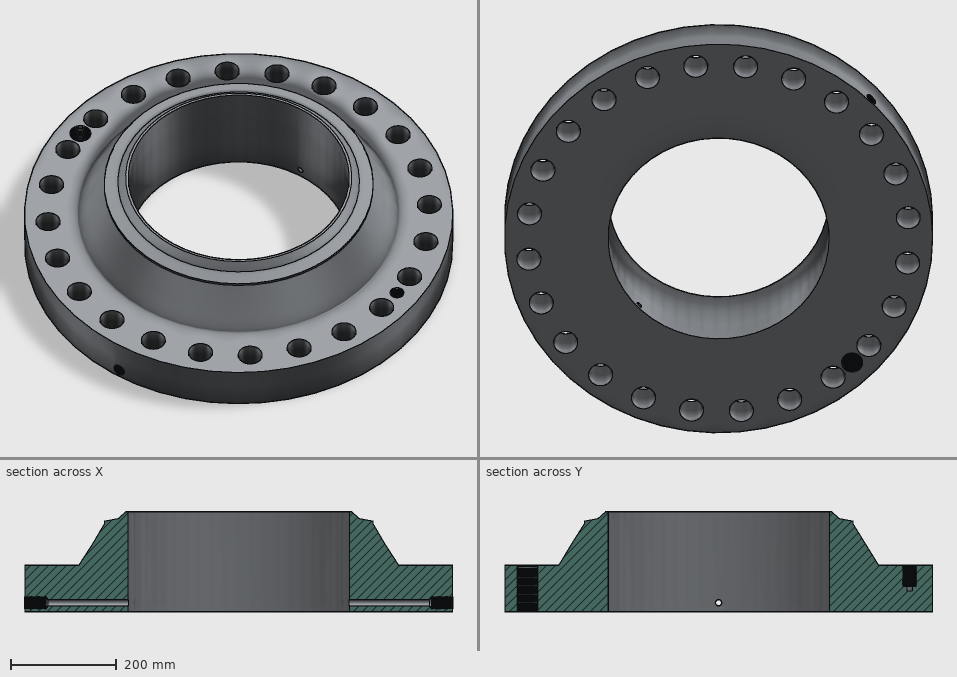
import cadquery as cq
import math

flange_radius = 406.0
flange_height = 89.0
bore_radius = 210.0

hub_base_radius = 304.0
hub_top_radius = 255.0
hub_cone_top = 167.5
hub_shoulder_height = 172.0
hub_base_fillet = 3.0
bevel_base_radius = 229.0
bevel_base_height = 177.0
bevel_top_radius = 214.5
total_height = 190.0

bolt_count = 24
bolt_circle_radius = 362.5
bolt_hole_diameter = 45.5
bolt_pitch_angle = 360 / bolt_count

jack_thread_diameter = 40.0
jack_tap_diameter = 36.0
jack_turns = 22

lift_thread_diameter = 26.0
lift_tap_diameter = 21.0
lift_depth = 41.0
lift_turns = 14
pilot_diameter = 10.0
pilot_depth = 8.0

port_height = 17.0
port_bore_diameter = 11.0
port_thread_diameter = 23.0
port_tap_diameter = 18.0
port_thread_depth = 41.0
port_turns = 20
drill_point_angle = 118


def revolve_about_z(profile):
    return profile.close().revolve(360, (0, 0), (0, 1))


def make_body():
    """Revolve the flange, the filleted hub and the weld bevel around the bore."""
    cone_angle = math.atan2(hub_cone_top - flange_height, hub_base_radius - hub_top_radius)
    fillet_reach = hub_base_fillet * math.tan(cone_angle / 2)
    fillet_end = (
        hub_base_radius - fillet_reach * math.cos(cone_angle),
        flange_height + fillet_reach * math.sin(cone_angle),
    )
    return revolve_about_z(
        cq.Workplane("XZ")
        .moveTo(bore_radius, 0)
        .lineTo(flange_radius, 0)
        .lineTo(flange_radius, flange_height)
        .lineTo(hub_base_radius + fillet_reach, flange_height)
        .tangentArcPoint(fillet_end, relative=False)
        .lineTo(hub_top_radius, hub_cone_top)
        .lineTo(hub_top_radius, hub_shoulder_height)
        .lineTo(bevel_base_radius, bevel_base_height)
        .lineTo(bevel_top_radius, total_height)
        .lineTo(bore_radius, total_height)
    )


def make_bolt_holes():
    return (
        cq.Workplane("XY")
        .polarArray(bolt_circle_radius, bolt_pitch_angle / 2, 360, bolt_count)
        .circle(bolt_hole_diameter / 2)
        .extrude(flange_height)
    )


def make_tapped_hole(thread_diameter, tap_diameter, depth, turns):
    """Tapped hole running down from Z = 0, its thread simplified to a stack of V rings."""
    thread_radius = thread_diameter / 2
    tap_radius = tap_diameter / 2
    pitch = depth / turns
    profile = cq.Workplane("XZ").lineTo(thread_radius, 0)
    for turn in range(turns):
        profile = profile.lineTo(tap_radius, -(turn + 0.5) * pitch)
        profile = profile.lineTo(thread_radius, -(turn + 1) * pitch)
    return revolve_about_z(profile.lineTo(0, -depth))


def make_jack_hole():
    hole = make_tapped_hole(jack_thread_diameter, jack_tap_diameter, flange_height, jack_turns)
    return hole.translate((-bolt_circle_radius, 0, flange_height))


def make_lift_hole():
    hole = make_tapped_hole(lift_thread_diameter, lift_tap_diameter, lift_depth, lift_turns)
    pilot = cq.Workplane("XY").circle(pilot_diameter / 2).extrude(-lift_depth - pilot_depth)
    return hole.union(pilot).translate((bolt_circle_radius, 0, flange_height))


def make_port():
    """Tapped socket with a conical drill point, narrowing to a bore that reaches the centre."""
    socket = make_tapped_hole(port_thread_diameter, port_tap_diameter, port_thread_depth, port_turns)
    thread_radius = port_thread_diameter / 2
    point_depth = thread_radius / math.tan(math.radians(drill_point_angle / 2))
    drill_point = revolve_about_z(
        cq.Workplane("XZ")
        .moveTo(0, -port_thread_depth)
        .lineTo(thread_radius, -port_thread_depth)
        .lineTo(0, -port_thread_depth - point_depth)
    )
    bore = cq.Workplane("XY").circle(port_bore_diameter / 2).extrude(-flange_radius)
    return (
        socket.union(drill_point)
        .union(bore)
        .rotate((0, 0, 0), (1, 0, 0), 90)
        .translate((0, -flange_radius, port_height))
    )


result = (
    make_body()
    .cut(make_bolt_holes())
    .cut(make_jack_hole())
    .cut(make_lift_hole())
)
for port_angle in (0, 180):
    result = result.cut(make_port().rotate((0, 0, 0), (0, 0, 1), port_angle))